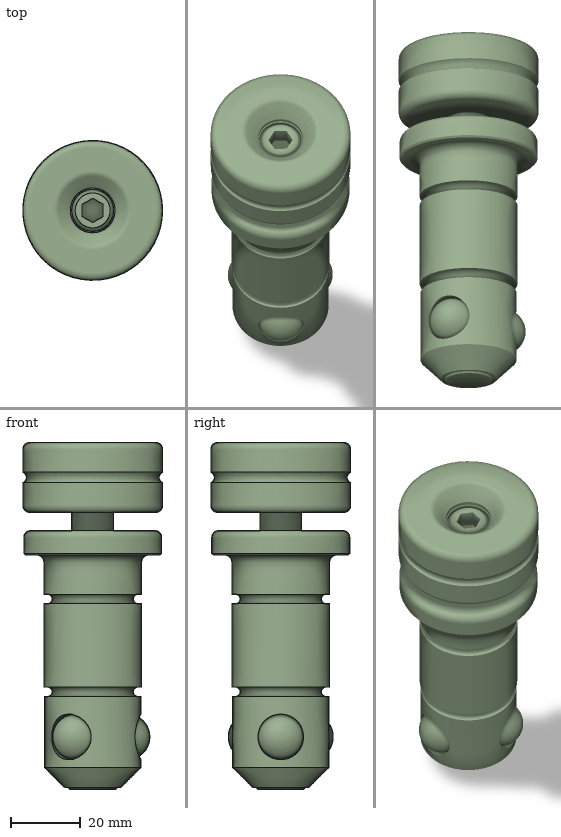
import cadquery as cq
import math

EDGE_RADIUS = 2.0

FLANGE_RADIUS = 19.75
FLANGE_THICKNESS = 7.0
FLANGE_LOWER_CHAMFER = 0.5
SHANK_RADIUS = 14.0
SHANK_LENGTH = 66.5
NOSE_RADIUS = 13.75
TAPER_HEIGHT = 5.75
RING_GROOVE_WIDTH = 2.7
RING_GROOVE_DEPTH = 2.4
UPPER_GROOVE_Z = -12.55
LOWER_GROOVE_Z = -39.1

BALL_COUNT = 3
BALL_RADIUS = 6.5
BALL_PITCH_RADIUS = 9.85
BALL_Z = -52.0
BALL_ANGLES = [2 * math.pi * i / BALL_COUNT for i in range(BALL_COUNT)]

KNOB_RADIUS = 20.0
KNOB_HEIGHT = 20.0
KNOB_GAP = 5.21
KNOB_BOTTOM = FLANGE_THICKNESS + KNOB_GAP
KNOB_TOP = KNOB_BOTTOM + KNOB_HEIGHT
KNOB_MIDDLE = (KNOB_BOTTOM + KNOB_TOP) / 2
KNOB_GROOVE_WIDTH = 3.0
KNOB_GROOVE_DEPTH = 1.0
DISH_RADIUS = 10.4
COUNTERBORE_RADIUS = 6.4
COUNTERBORE_DEPTH = 5.0

SPINDLE_RADIUS = 6.0
SPINDLE_CHAMFER = 1.0
SPINDLE_TOP = KNOB_TOP - COUNTERBORE_DEPTH
BALL_CLEARANCE = 3.0
SPINDLE_BOTTOM = BALL_Z + BALL_RADIUS + BALL_CLEARANCE
HEX_FLATS = 6.0
HEX_DEPTH = 5.0

PLUG_RADIUS = 7.0
PLUG_PROTRUSION = 0.5
PLUG_LENGTH = 6.5
PLUG_BOTTOM = -SHANK_LENGTH - PLUG_PROTRUSION


def cylinder(radius, bottom, top):
    return cq.Workplane("XY").workplane(offset=bottom).circle(radius).extrude(top - bottom)


def revolve_about_z(profile):
    return profile.close().revolve(360, (0, 0), (0, 1))


def circle_edges(body, radius, z):
    """Edges of the body on the circle of the given radius about Z at height z."""

    def on_circle(edge):
        point = edge.startPoint()
        return math.isclose(math.hypot(point.x, point.y), radius, abs_tol=1e-4) and (
            math.isclose(edge.Center().z, z, abs_tol=1e-4)
        )

    return body.newObject([edge for edge in body.edges().vals() if on_circle(edge)])


def make_ring_groove(z):
    """U-shaped groove around the shank: flat walls and a half-round floor."""
    half_width = RING_GROOVE_WIDTH / 2
    floor_radius = SHANK_RADIUS - RING_GROOVE_DEPTH
    outside = SHANK_RADIUS + half_width
    return revolve_about_z(
        cq.Workplane("XZ")
        .moveTo(outside, z - half_width)
        .lineTo(floor_radius + half_width, z - half_width)
        .threePointArc((floor_radius, z), (floor_radius + half_width, z + half_width))
        .lineTo(outside, z + half_width)
    )


def make_ball(angle):
    x = BALL_PITCH_RADIUS * math.cos(angle)
    y = BALL_PITCH_RADIUS * math.sin(angle)
    return cq.Workplane("XY").sphere(BALL_RADIUS).translate((x, y, BALL_Z))


def make_ball_pocket(angle):
    """Radial bore from outside the nose, ending in a round seat for the ball."""
    outward = cq.Vector(math.cos(angle), math.sin(angle), 0)
    ball_centre = outward * BALL_PITCH_RADIUS + cq.Vector(0, 0, BALL_Z)
    bore = cq.Solid.makeCylinder(BALL_RADIUS, NOSE_RADIUS, ball_centre, outward)
    return make_ball(angle).union(cq.Workplane(bore))


def make_spindle_blank():
    return cylinder(SPINDLE_RADIUS, SPINDLE_BOTTOM, SPINDLE_TOP)


def make_plug():
    plug = cylinder(PLUG_RADIUS, PLUG_BOTTOM, PLUG_BOTTOM + PLUG_LENGTH)
    return plug.faces("<Z").edges().chamfer(PLUG_PROTRUSION)


def make_housing():
    tip_radius = NOSE_RADIUS - TAPER_HEIGHT
    body = revolve_about_z(
        cq.Workplane("XZ")
        .moveTo(0, FLANGE_THICKNESS)
        .lineTo(FLANGE_RADIUS, FLANGE_THICKNESS)
        .lineTo(FLANGE_RADIUS, 0)
        .lineTo(SHANK_RADIUS, 0)
        .lineTo(SHANK_RADIUS, LOWER_GROOVE_Z)
        .lineTo(NOSE_RADIUS, LOWER_GROOVE_Z)
        .lineTo(NOSE_RADIUS, TAPER_HEIGHT - SHANK_LENGTH)
        .lineTo(tip_radius, -SHANK_LENGTH)
        .lineTo(0, -SHANK_LENGTH)
    )
    body = circle_edges(body, FLANGE_RADIUS, FLANGE_THICKNESS).fillet(EDGE_RADIUS)
    body = circle_edges(body, FLANGE_RADIUS, 0).chamfer(FLANGE_LOWER_CHAMFER)
    body = circle_edges(body, SHANK_RADIUS, 0).fillet(EDGE_RADIUS)
    for z in (UPPER_GROOVE_Z, LOWER_GROOVE_Z):
        body = body.cut(make_ring_groove(z))
    for angle in BALL_ANGLES:
        body = body.cut(make_ball_pocket(angle))
    return body.cut(make_spindle_blank()).cut(make_plug())


def make_knob_groove():
    """Shallow round-bottomed groove around the middle of the knob."""
    half_width = KNOB_GROOVE_WIDTH / 2
    outside = KNOB_RADIUS + KNOB_GROOVE_DEPTH
    return revolve_about_z(
        cq.Workplane("XZ")
        .moveTo(KNOB_RADIUS, KNOB_MIDDLE - half_width)
        .threePointArc(
            (KNOB_RADIUS - KNOB_GROOVE_DEPTH, KNOB_MIDDLE),
            (KNOB_RADIUS, KNOB_MIDDLE + half_width),
        )
        .lineTo(outside, KNOB_MIDDLE + half_width)
        .lineTo(outside, KNOB_MIDDLE - half_width)
    )


def make_dish():
    """45 degree cone narrowing down to the counterbore."""
    floor_z = KNOB_TOP - (DISH_RADIUS - COUNTERBORE_RADIUS)
    return revolve_about_z(
        cq.Workplane("XZ")
        .moveTo(0, KNOB_TOP)
        .lineTo(DISH_RADIUS, KNOB_TOP)
        .lineTo(COUNTERBORE_RADIUS, floor_z)
        .lineTo(0, floor_z)
    )


def make_knob():
    body = cylinder(KNOB_RADIUS, KNOB_BOTTOM, KNOB_TOP).edges().fillet(EDGE_RADIUS)
    body = body.cut(make_dish())
    body = circle_edges(body, DISH_RADIUS, KNOB_TOP).fillet(EDGE_RADIUS)
    body = body.cut(make_knob_groove())
    body = body.cut(cylinder(COUNTERBORE_RADIUS, SPINDLE_TOP, KNOB_TOP))
    return body.cut(make_spindle_blank())


def make_spindle():
    hex_corner_diameter = HEX_FLATS / math.cos(math.pi / 6)
    hex_socket = (
        cq.Workplane("XY")
        .workplane(offset=SPINDLE_TOP - HEX_DEPTH)
        .polygon(6, hex_corner_diameter)
        .extrude(HEX_DEPTH)
        .rotate((0, 0, 0), (0, 0, 1), 90)
    )
    return make_spindle_blank().faces(">Z").edges().chamfer(SPINDLE_CHAMFER).cut(hex_socket)


housing = make_housing()
knob = make_knob()
spindle = make_spindle()
plug = make_plug()
balls = [make_ball(angle) for angle in BALL_ANGLES]

result = cq.Compound.makeCompound(
    [housing.val(), knob.val(), spindle.val(), plug.val(), *[ball.val() for ball in balls]]
)